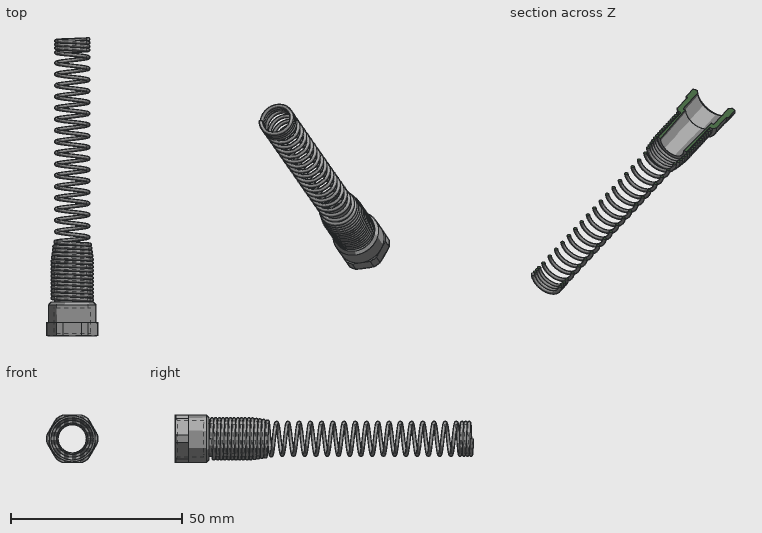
import cadquery as cq
import math

total_length = 87.3

across_flats = 14.0
corner_diameter = 15.0
hex_length = 3.9
nut_length = 10.0
collar_chamfer = 0.9
hex_face_diameter = 13.45
hex_chamfer_length = 0.3
mouth_diameter = 12.3
mouth_depth = 0.8
bore_diameter = 10.7
bore_depth = 8.3
passage_diameter = 9.2
tip_hole_diameter = 8.2

sleeve_diameter = 12.4
shoulder_diameter = 11.3
coil_diameter = 10.3
closed_pitch = 1.05
coil_gap = 0.04
wire_diameter = closed_pitch - coil_gap
sleeve_turns = 15
sleeve_taper_turns = 4
open_turns = 16
end_turns = 3
sleeve_length = 16.15
points_per_turn = 12

wire_radius = wire_diameter / 2
spring_start = nut_length + coil_gap + wire_radius
spring_rise = total_length - wire_radius - spring_start
sleeve_pitch = sleeve_length / sleeve_turns

open_pitch = (
    spring_rise - sleeve_length - end_turns * closed_pitch - (sleeve_pitch + closed_pitch) / 2
) / (open_turns + 1)
open_start = sleeve_turns + 1
open_end = open_start + open_turns
end_start = open_end + 1
total_turns = end_start + end_turns

spigot_diameter = sleeve_diameter - 2 * (wire_diameter + coil_gap)
spigot_end = nut_length + (sleeve_turns - sleeve_taper_turns) * sleeve_pitch


def cylinder(diameter, start, end):
    """Cylinder along Y between two positions."""
    return cq.Workplane("XZ", origin=(0, start, 0)).circle(diameter / 2).extrude(start - end)


def hexagonal_grip():
    """Hexagon with flats facing +Z and -Z, rounded corners and a coned front face."""
    across_corners = across_flats / math.cos(math.pi / 6)
    hexagon = cq.Workplane("XZ").polygon(6, across_corners).extrude(-hex_length)
    envelope = (
        cq.Workplane("XY")
        .moveTo(0, 0)
        .lineTo(hex_face_diameter / 2, 0)
        .lineTo(corner_diameter / 2, hex_chamfer_length)
        .lineTo(corner_diameter / 2, hex_length)
        .lineTo(0, hex_length)
        .close()
        .revolve(360, (0, 0, 0), (0, 1, 0))
    )
    return hexagon.intersect(envelope)


def nut_bore():
    """Coned mouth, bore with a flat bottom, then a passage narrowing to the spigot tip."""
    return (
        cq.Workplane("XY")
        .moveTo(0, 0)
        .lineTo(mouth_diameter / 2, 0)
        .lineTo(bore_diameter / 2, mouth_depth)
        .lineTo(bore_diameter / 2, bore_depth)
        .lineTo(passage_diameter / 2, bore_depth)
        .lineTo(tip_hole_diameter / 2, spigot_end)
        .lineTo(0, spigot_end)
        .close()
        .revolve(360, (0, 0, 0), (0, 1, 0))
    )


def make_nut():
    collar = cylinder(across_flats, hex_length, nut_length).faces(">Y").chamfer(collar_chamfer)
    spigot = cylinder(spigot_diameter, hex_length, spigot_end)
    return hexagonal_grip().union(collar).union(spigot).cut(nut_bore())


def ramp_rise(turns, first_pitch, last_pitch):
    """Rise after part of the one turn over which the pitch changes evenly."""
    return first_pitch * turns + (last_pitch - first_pitch) * turns**2 / 2


def wire_position(turn):
    """Y position of the wire centre after a number of turns."""
    sleeve_part = min(turn, sleeve_turns)
    first_ramp = min(max(turn - sleeve_turns, 0), 1)
    open_part = min(max(turn - open_start, 0), open_turns)
    last_ramp = min(max(turn - open_end, 0), 1)
    end_part = max(turn - end_start, 0)
    return (
        spring_start
        + sleeve_part * sleeve_pitch
        + ramp_rise(first_ramp, sleeve_pitch, open_pitch)
        + open_part * open_pitch
        + ramp_rise(last_ramp, open_pitch, closed_pitch)
        + end_part * closed_pitch
    )


def coil_radius(turn):
    """Radius of the wire centre: wide sleeve, tapered shoulder, then the narrow coil."""
    taper_start = sleeve_turns - sleeve_taper_turns
    taper = min(max((turn - taper_start) / sleeve_taper_turns, 0), 1)
    step = min(max(turn - sleeve_turns, 0), 1)
    outer_diameter = (
        sleeve_diameter
        - taper * (sleeve_diameter - shoulder_diameter)
        - step * (shoulder_diameter - coil_diameter)
    )
    return outer_diameter / 2 - wire_radius


def wire_point(index):
    turn = index / points_per_turn
    angle = 2 * math.pi * turn
    radius = coil_radius(turn)
    return cq.Vector(radius * math.cos(angle), wire_position(turn), radius * math.sin(angle))


def make_spring():
    points = [wire_point(index) for index in range(total_turns * points_per_turn + 1)]
    centre_line = cq.Edge.makeSpline(points)
    section = cq.Plane(
        origin=centre_line.startPoint(), xDir=(1, 0, 0), normal=centre_line.tangentAt(0)
    )
    path = cq.Workplane("XY").add(cq.Wire.assembleEdges([centre_line]))
    return cq.Workplane(section).circle(wire_radius).sweep(path, isFrenet=True)


nut = make_nut()
spring = make_spring()

result = cq.Compound.makeCompound([nut.val(), spring.val()])